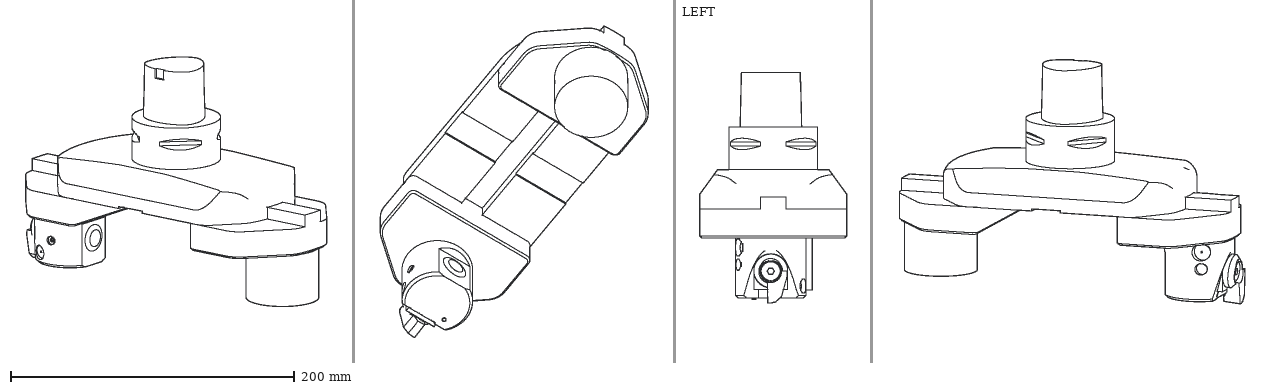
import cadquery as cq
import math

JOINT_Z = 0.0

BODY_HALF_WIDTH = 52.0
FACET_ANGLE = 40.0
CORNER_RADIUS = 16.0

BRIDGE_END_RADIUS = 89.8
BRIDGE_CORNER_X = 64.8
BRIDGE_TOP_Z = 27.7
FLAT_TOP_RADIUS = 44.1
CROWN_RADIUS = 81.5
CROWN_DROP = 2.8
CROWN_ROUND = 9.5
SIDE_BEVEL_TOP_Y = 39.3
SIDE_BEVEL_BOTTOM_Z = 10.3
RELIEF_WIDTH = 21.5
RELIEF_DEPTH = 1.5

FLANGE_DIAMETER = 62.8
FLANGE_TOP_Z = 58.0
SHANK_TOP_Z = 96.3
SHANK_BASE_DIAMETER = 43.6
SHANK_TOP_DIAMETER = 41.9
SHANK_LOBE = 3.3
SHANK_SLOT_WIDTH = 7.5
SHANK_SLOT_HEIGHT = 6.8
SHANK_SLOT_DEPTH = 1.8
GRIP_SLOT_Z = 46.0
GRIP_SLOT_HEIGHT = 2.8
GRIP_SLOT_MOUTH = 8.0
GRIP_SLOT_DEPTH = 3.8
GRIP_SLOT_COUNT = 4

SLIDE_END_RADIUS = 123.5
SLIDE_CORNER_X = 93.3
SLIDE_INNER_X = 52.0
SLIDE_INNER_ROUND = 4.5
SLIDE_CHAMFER = 1.5
TOOL_SLIDE_THICKNESS = 20.7
WEIGHT_SLIDE_THICKNESS = 20.0
KEY_WIDTH = 17.7
KEY_HEIGHT = 8.5

WEIGHT_DIAMETER = 51.7
WEIGHT_X = 97.4
WEIGHT_Y = -1.8
WEIGHT_BOTTOM_Z = -57.3

HEAD_DIAMETER = 50.0
HEAD_RADIUS = HEAD_DIAMETER / 2
HEAD_X = -97.4
HEAD_Y = 1.8
HEAD_BOTTOM_Z = -63.0
HEAD_CHAMFER = 2.0
BACK_FLAT_X = -76.2
BACK_FLAT_TOP_Z = -31.0
BACK_CAP_DIAMETER = 19.2
BACK_CAP_TIP_DIAMETER = 12.0
BACK_CAP_HEIGHT = 1.5

SEAT_ANGLE = 15.0
SEAT_TOP_Z = -28.2
SEAT_BACK_X = -118.5
BOSS_WIDTH = 24.0
BOSS_BOTTOM_Z = -56.7
TOE_RELIEF_EXTRA_ANGLE = 8.0
TOE_RELIEF_Y = 10.3

NOZZLE_X = -106.5
NOZZLE_DOME = 2.0
NOZZLE_SHOULDER = 19.7
NOZZLE_JET_DIAMETER = 1.0
NOZZLE_JET_DEPTH = 2.5
FRONT_NOZZLE_DIAMETER = 10.0
FRONT_NOZZLE_Z = -54.5
REAR_NOZZLE_DIAMETER = 12.0
REAR_NOZZLE_Z = -27.2
REAR_HOLE_DIAMETER = 8.0
REAR_HOLE_Z = -39.3
REAR_HOLE_DEPTH = 2.5
SIDE_HOLE_X = -95.0
SIDE_HOLE_Z = -43.6
SIDE_HOLE_DIAMETER = 6.0
SIDE_HOLE_DEPTH = 1.3
SIDE_HEX_SIZE = 2.8
SIDE_HEX_DEPTH = 2.5
BOTTOM_PIN_DIAMETER = 2.8
BOTTOM_PIN_X = -106.0
BOTTOM_PIN_Y = 13.5
BOTTOM_PIN_HEIGHT = 0.8

INSERT_Z = -43.5
INSERT_AXIS_ANGLE = 6.0
INSERT_DIAMETER = 24.0
INSERT_DISC_HEIGHT = 7.8
INSERT_DISC_CHAMFER = 3.5
INSERT_FRONT_X = -128.6
INSERT_TIP_Z = -66.5
BLADE_LEFT_Y = 4.0
BLADE_TOP_Z = -44.0
BLADE_RIGHT_EDGE = [(1.8, INSERT_TIP_Z), (-1.5, -65.8), (-5.8, -62.0), (-9.8, -47.5)]
BLADE_TIP_BACK = [(-118.5, -58.5), (-116.0, -62.0), (-116.3, -65.5)]
INSERT_FRONT_TOP_X = -126.0

SCREW_DIAMETER = 13.5
SCREW_BORE_DIAMETER = 15.1
SCREW_BORE_LENGTH = 15.1
SCREW_LIFT = 2.0
SCREW_HEIGHT = 4.5
SCREW_HEX_SIZE = 5.0
SCREW_HEX_DEPTH = 2.0


def body_plan(corner_x, end_radius, bottom_z, top_z):
    """Rounded lozenge block with ends concentric with the spindle."""
    tip_x = corner_x + BODY_HALF_WIDTH * math.tan(math.radians(FACET_ANGLE))
    height = top_z - bottom_z
    lozenge = (
        cq.Workplane("XY", origin=(0, 0, bottom_z))
        .polyline([
            (-tip_x, 0), (-corner_x, -BODY_HALF_WIDTH), (corner_x, -BODY_HALF_WIDTH),
            (tip_x, 0), (corner_x, BODY_HALF_WIDTH), (-corner_x, BODY_HALF_WIDTH),
        ])
        .close()
        .extrude(height)
    )
    disc = cq.Workplane("XY", origin=(0, 0, bottom_z)).circle(end_radius).extrude(height)
    return lozenge.intersect(disc).edges("|Z").fillet(CORNER_RADIUS)


def side_prism(points, y_min, y_max):
    """Prism along Y over a closed outline of (x, z) points."""
    return cq.Workplane("XZ", origin=(0, y_max, 0)).polyline(points).close().extrude(y_max - y_min)


def shank_outline(diameter):
    """Three-lobed outline with one lobe toward +Y, as a function of a 0..1 parameter."""
    def point(t):
        angle = 2 * math.pi * t + math.pi
        along = (diameter / 2 * math.cos(angle) - SHANK_LOBE * math.cos(2 * angle)
                 + SHANK_LOBE / 2 * math.cos(4 * angle))
        across = (diameter / 2 * math.sin(angle) + SHANK_LOBE * math.sin(2 * angle)
                  + SHANK_LOBE / 2 * math.sin(4 * angle))
        return across, -along
    return point


def make_shank():
    shank = (
        cq.Workplane("XY", origin=(0, 0, FLANGE_TOP_Z))
        .parametricCurve(shank_outline(SHANK_BASE_DIAMETER), N=120)
        .workplane(offset=SHANK_TOP_Z - FLANGE_TOP_Z)
        .parametricCurve(shank_outline(SHANK_TOP_DIAMETER), N=120)
        .loft()
    )
    slot_floor_y = -(SHANK_TOP_DIAMETER - SHANK_LOBE) / 2 + SHANK_SLOT_DEPTH
    slot = (
        cq.Workplane("XY")
        .box(SHANK_SLOT_WIDTH, SHANK_BASE_DIAMETER, SHANK_SLOT_HEIGHT, centered=(True, False, False))
        .translate((0, slot_floor_y - SHANK_BASE_DIAMETER, SHANK_TOP_Z - SHANK_SLOT_HEIGHT))
    )
    return shank.cut(slot)


def grip_slot(angle):
    """Straight V-sided groove across the flange, facing the given direction."""
    floor_x = FLANGE_DIAMETER / 2 - GRIP_SLOT_DEPTH
    mouth_x = FLANGE_DIAMETER / 2
    outside_x = mouth_x + 2.5
    groove = side_prism(
        [
            (floor_x, GRIP_SLOT_Z - GRIP_SLOT_HEIGHT / 2),
            (mouth_x, GRIP_SLOT_Z - GRIP_SLOT_MOUTH / 2),
            (outside_x, GRIP_SLOT_Z - GRIP_SLOT_MOUTH / 2),
            (outside_x, GRIP_SLOT_Z + GRIP_SLOT_MOUTH / 2),
            (mouth_x, GRIP_SLOT_Z + GRIP_SLOT_MOUTH / 2),
            (floor_x, GRIP_SLOT_Z + GRIP_SLOT_HEIGHT / 2),
        ],
        -FLANGE_DIAMETER / 2, FLANGE_DIAMETER / 2,
    )
    return groove.rotate((0, 0, 0), (0, 0, 1), angle)


def make_flange():
    flange = (
        cq.Workplane("XY", origin=(0, 0, BRIDGE_TOP_Z))
        .circle(FLANGE_DIAMETER / 2)
        .extrude(FLANGE_TOP_Z - BRIDGE_TOP_Z)
    )
    step = 360 / GRIP_SLOT_COUNT
    for index in range(GRIP_SLOT_COUNT):
        flange = flange.cut(grip_slot(step * (index + 0.5)))
    return flange


def crown_envelope():
    """Turned envelope: flat centre, slightly conical top and rounded outer edge."""
    crown_z = BRIDGE_TOP_Z - CROWN_DROP
    round_bottom_z = crown_z - CROWN_ROUND
    middle = math.radians(45)
    round_width = BRIDGE_END_RADIUS - CROWN_RADIUS
    return (
        cq.Workplane("XZ")
        .moveTo(0, JOINT_Z)
        .lineTo(BRIDGE_END_RADIUS, JOINT_Z)
        .lineTo(BRIDGE_END_RADIUS, round_bottom_z)
        .threePointArc(
            (CROWN_RADIUS + round_width * math.cos(middle),
             round_bottom_z + CROWN_ROUND * math.sin(middle)),
            (CROWN_RADIUS, crown_z),
        )
        .lineTo(FLAT_TOP_RADIUS, BRIDGE_TOP_Z)
        .lineTo(0, BRIDGE_TOP_Z)
        .close()
        .revolve(360, (0, 0, 0), (0, 1, 0))
    )


def bevelled_section():
    """Cross-section of the bridge with bevelled long sides, along its full length."""
    return (
        cq.Workplane("YZ", origin=(-BRIDGE_END_RADIUS, 0, 0))
        .polyline([
            (-BODY_HALF_WIDTH, JOINT_Z), (BODY_HALF_WIDTH, JOINT_Z),
            (BODY_HALF_WIDTH, SIDE_BEVEL_BOTTOM_Z), (SIDE_BEVEL_TOP_Y, BRIDGE_TOP_Z),
            (-SIDE_BEVEL_TOP_Y, BRIDGE_TOP_Z), (-BODY_HALF_WIDTH, SIDE_BEVEL_BOTTOM_Z),
        ])
        .close()
        .extrude(2 * BRIDGE_END_RADIUS)
    )


def make_bridge():
    block = body_plan(BRIDGE_CORNER_X, BRIDGE_END_RADIUS, JOINT_Z, BRIDGE_TOP_Z)
    bridge = block.intersect(crown_envelope()).intersect(bevelled_section())
    keyway = cq.Workplane("XY").box(
        2 * BRIDGE_END_RADIUS, KEY_WIDTH, KEY_HEIGHT, centered=(True, True, False))
    relief = cq.Workplane("XY").box(
        RELIEF_WIDTH, 2 * BODY_HALF_WIDTH, RELIEF_DEPTH, centered=(True, True, False))
    return bridge.cut(keyway).cut(relief).union(make_flange()).union(make_shank())


def make_slide(side, thickness):
    """Slide with its key; side is -1 for the -X end and +1 for the +X end."""
    reach = SLIDE_END_RADIUS - SLIDE_INNER_X
    middle_x = side * (SLIDE_INNER_X + reach / 2)
    half = cq.Workplane("XY").box(
        reach, 2 * BODY_HALF_WIDTH, 2 * thickness).translate((middle_x, 0, JOINT_Z))
    plate = body_plan(SLIDE_CORNER_X, SLIDE_END_RADIUS, JOINT_Z - thickness, JOINT_Z).intersect(half)
    inner_face = "<X" if side > 0 else ">X"
    plate = plate.faces(inner_face).edges("|Z").fillet(SLIDE_INNER_ROUND)
    plate = plate.faces("<Z").edges().chamfer(SLIDE_CHAMFER)
    key_end = cq.Workplane("XY").circle(SLIDE_END_RADIUS).extrude(KEY_HEIGHT)
    key = (
        cq.Workplane("XY")
        .box(reach, KEY_WIDTH, KEY_HEIGHT, centered=(True, True, False))
        .translate((middle_x, 0, JOINT_Z))
        .intersect(key_end)
    )
    return plate.union(key)


def make_counterweight():
    top_z = JOINT_Z - WEIGHT_SLIDE_THICKNESS
    return (
        cq.Workplane("XY", origin=(WEIGHT_X, WEIGHT_Y, WEIGHT_BOTTOM_Z))
        .circle(WEIGHT_DIAMETER / 2)
        .extrude(top_z - WEIGHT_BOTTOM_Z)
    )


HEAD_FRONT_X = HEAD_X - HEAD_RADIUS
SEAT_SLOPE = math.tan(math.radians(SEAT_ANGLE))
SEAT_KNEE_Z = SEAT_TOP_Z - (SEAT_BACK_X - HEAD_FRONT_X) / SEAT_SLOPE
TOE_SLOPE = math.tan(math.radians(SEAT_ANGLE + TOE_RELIEF_EXTRA_ANGLE))


def seat_x(z):
    """X of the slanted seat face at height z."""
    return HEAD_FRONT_X + (SEAT_TOP_Z - z) * SEAT_SLOPE


def head_blank():
    top_z = JOINT_Z - TOOL_SLIDE_THICKNESS
    blank = (
        cq.Workplane("XY", origin=(HEAD_X, HEAD_Y, HEAD_BOTTOM_Z))
        .circle(HEAD_RADIUS)
        .extrude(top_z - HEAD_BOTTOM_Z)
    )
    far_x = HEAD_X + HEAD_RADIUS + 2.5
    y_min = HEAD_Y - HEAD_RADIUS
    y_max = HEAD_Y + HEAD_RADIUS
    back_flat = side_prism(
        [
            (BACK_FLAT_X, HEAD_BOTTOM_Z), (BACK_FLAT_X, BACK_FLAT_TOP_Z),
            (far_x, BACK_FLAT_TOP_Z + far_x - BACK_FLAT_X), (far_x, HEAD_BOTTOM_Z),
        ],
        y_min, y_max,
    )
    seat_cut = side_prism(
        [
            (HEAD_FRONT_X, SEAT_TOP_Z), (seat_x(HEAD_BOTTOM_Z), HEAD_BOTTOM_Z),
            (HEAD_FRONT_X, HEAD_BOTTOM_Z),
        ],
        y_min, y_max,
    )
    toe_height = BOSS_BOTTOM_Z - HEAD_BOTTOM_Z
    toe_relief = side_prism(
        [
            (seat_x(BOSS_BOTTOM_Z), BOSS_BOTTOM_Z),
            (seat_x(BOSS_BOTTOM_Z) + toe_height * TOE_SLOPE, HEAD_BOTTOM_Z),
            (HEAD_FRONT_X, HEAD_BOTTOM_Z),
        ],
        y_min, TOE_RELIEF_Y,
    )
    return blank.faces("<Z").edges().chamfer(HEAD_CHAMFER).cut(back_flat).cut(seat_cut).cut(toe_relief)


def seat_boss():
    """Wedge between the slanted seat face and the upright face behind the insert blade."""
    return side_prism(
        [
            (SEAT_BACK_X, SEAT_KNEE_Z), (SEAT_BACK_X, BOSS_BOTTOM_Z),
            (HEAD_X, BOSS_BOTTOM_Z), (HEAD_X, SEAT_KNEE_Z),
        ],
        HEAD_Y - BOSS_WIDTH / 2, HEAD_Y + BOSS_WIDTH / 2,
    )


def wall_plane(x, z, side, distance):
    """XZ-parallel plane at a distance from the head axis, facing -Y (-1) or +Y (+1)."""
    return cq.Plane(origin=(x, HEAD_Y + side * distance, z), xDir=(1, 0, 0), normal=(0, side, 0))


def wall_distance(x):
    """Distance of the round head wall from the head axis along Y, at the given x."""
    return math.sqrt(HEAD_RADIUS**2 - (x - HEAD_X) ** 2)


def wall_hole(x, z, side, diameter, floor_distance):
    """Round hole along Y, from a floor at the given distance out through the head wall."""
    return (
        cq.Workplane(wall_plane(x, z, side, floor_distance))
        .circle(diameter / 2)
        .extrude(HEAD_RADIUS - floor_distance)
    )


def add_nozzle(head, z, side, diameter):
    """Sink a domed nozzle face with a fine central jet into the head wall."""
    half = diameter / 2
    ball_radius = (half**2 + NOZZLE_DOME**2) / (2 * NOZZLE_DOME)
    ball_centre = NOZZLE_SHOULDER + NOZZLE_DOME - ball_radius
    recess = wall_hole(NOZZLE_X, z, side, diameter, NOZZLE_SHOULDER)
    ball = cq.Workplane(wall_plane(NOZZLE_X, z, side, ball_centre)).sphere(ball_radius)
    jet_floor = NOZZLE_SHOULDER + NOZZLE_DOME - NOZZLE_JET_DEPTH
    jet = wall_hole(NOZZLE_X, z, side, NOZZLE_JET_DIAMETER, jet_floor)
    return head.cut(recess.cut(ball)).cut(jet)


def side_screw_hole():
    """Round mouth with a hexagonal socket below it."""
    surface = wall_distance(SIDE_HOLE_X)
    mouth = wall_hole(SIDE_HOLE_X, SIDE_HOLE_Z, -1, SIDE_HOLE_DIAMETER, surface - SIDE_HOLE_DEPTH)
    socket = (
        cq.Workplane(wall_plane(SIDE_HOLE_X, SIDE_HOLE_Z, -1, surface))
        .polygon(6, SIDE_HEX_SIZE)
        .extrude(-SIDE_HEX_DEPTH)
    )
    return mouth.union(socket)


def back_cap():
    """Low conical cap on the back flat, level with the side screw hole."""
    return (
        cq.Workplane("YZ", origin=(BACK_FLAT_X, HEAD_Y, SIDE_HOLE_Z))
        .circle(BACK_CAP_DIAMETER / 2)
        .workplane(offset=BACK_CAP_HEIGHT)
        .circle(BACK_CAP_TIP_DIAMETER / 2)
        .loft()
    )


def make_head():
    bottom_pin = (
        cq.Workplane("XY", origin=(BOTTOM_PIN_X, BOTTOM_PIN_Y, HEAD_BOTTOM_Z))
        .circle(BOTTOM_PIN_DIAMETER / 2)
        .extrude(-BOTTOM_PIN_HEIGHT)
    )
    rear_hole_floor = wall_distance(NOZZLE_X) - REAR_HOLE_DEPTH
    rear_hole = wall_hole(NOZZLE_X, REAR_HOLE_Z, 1, REAR_HOLE_DIAMETER, rear_hole_floor)
    head = head_blank().union(seat_boss()).union(back_cap()).union(bottom_pin)
    head = add_nozzle(head, FRONT_NOZZLE_Z, -1, FRONT_NOZZLE_DIAMETER)
    head = add_nozzle(head, REAR_NOZZLE_Z, 1, REAR_NOZZLE_DIAMETER)
    return head.cut(side_screw_hole()).cut(rear_hole)


def insert_plane(lift):
    """Plane square to the insert axis, lifted outward from the boss face, normal outward."""
    angle = math.radians(INSERT_AXIS_ANGLE)
    normal = (-math.cos(angle), 0, -math.sin(angle))
    origin = (SEAT_BACK_X + lift * normal[0], HEAD_Y, INSERT_Z + lift * normal[2])
    return cq.Plane(origin=origin, xDir=(0, -1, 0), normal=normal)


def insert_side_profile():
    """Side profile of the insert: slanted back above, upright back below, flared tip."""
    return side_prism(
        [
            (HEAD_FRONT_X, SEAT_TOP_Z), (SEAT_BACK_X, SEAT_KNEE_Z), *BLADE_TIP_BACK,
            (INSERT_FRONT_X, INSERT_TIP_Z), (INSERT_FRONT_TOP_X, SEAT_TOP_Z),
        ],
        HEAD_Y - INSERT_DIAMETER, HEAD_Y + INSERT_DIAMETER,
    )


def make_insert():
    disc = (
        cq.Workplane(insert_plane(0))
        .circle(INSERT_DIAMETER / 2)
        .extrude(INSERT_DISC_HEIGHT)
        .faces("<X")
        .chamfer(INSERT_DISC_CHAMFER)
    )
    blade_end_y = BLADE_RIGHT_EDGE[-1][0]
    blade = (
        cq.Workplane("YZ", origin=(INSERT_FRONT_X, 0, 0))
        .polyline([
            (BLADE_LEFT_Y, BLADE_TOP_Z), (BLADE_LEFT_Y, INSERT_TIP_Z),
            *BLADE_RIGHT_EDGE, (blade_end_y, BLADE_TOP_Z),
        ])
        .close()
        .extrude(HEAD_X - INSERT_FRONT_X)
    )
    bore = (
        cq.Workplane(insert_plane(SCREW_LIFT))
        .circle(SCREW_BORE_DIAMETER / 2)
        .extrude(SCREW_BORE_LENGTH)
    )
    return disc.union(blade).intersect(insert_side_profile()).cut(bore)


def make_screw():
    socket = (
        cq.Workplane(insert_plane(SCREW_LIFT + SCREW_HEIGHT))
        .polygon(6, SCREW_HEX_SIZE)
        .extrude(-SCREW_HEX_DEPTH)
    )
    return (
        cq.Workplane(insert_plane(SCREW_LIFT))
        .circle(SCREW_DIAMETER / 2)
        .extrude(SCREW_HEIGHT)
        .cut(socket)
    )


bridge = make_bridge()
tool_slide = make_slide(-1, TOOL_SLIDE_THICKNESS)
weight_slide = make_slide(1, WEIGHT_SLIDE_THICKNESS)
counterweight = make_counterweight()
tool_head = make_head()
insert = make_insert()
insert_screw = make_screw()

result = cq.Compound.makeCompound([
    bridge.solids().val(),
    tool_slide.solids().val(),
    weight_slide.solids().val(),
    counterweight.solids().val(),
    tool_head.solids().val(),
    insert.solids().val(),
    insert_screw.solids().val(),
])